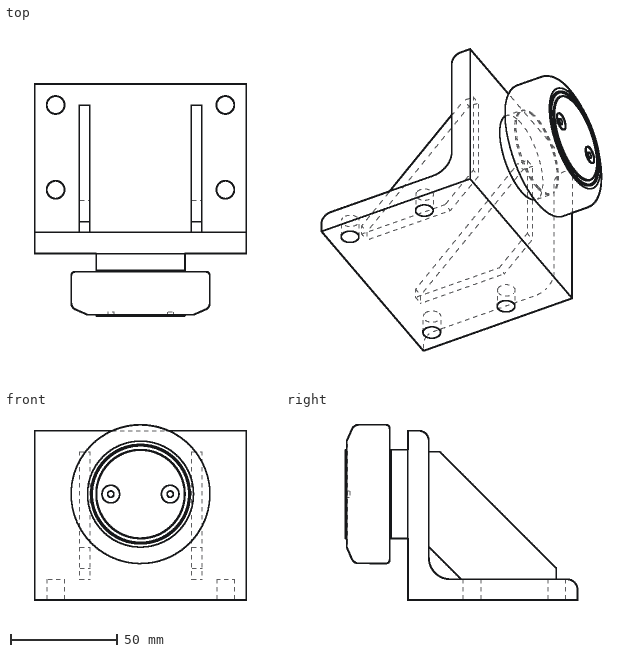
import cadquery as cq

bracket_width = 100.0
bracket_side = 80.0
plate_thickness = 10.0
edge_radius = 5.0
corner_radius = 10.0

mount_hole_diameter = 8.3
mount_hole_inset = 10.0
mount_hole_pitch = 40.0

gusset_thickness = 5.0
gusset_inset = 21.0
gusset_end_setback = 10.0
gusset_blunt_end = 5.0
gusset_corner_relief = 15.1

roller_height = 50.0
roller_diameter = 65.5
roller_back = 8.5
roller_front = 28.9
roller_face_diameter = 50.0
roller_cone_start = 25.5
roller_front_radius = 3.4
roller_back_radius = 1.8

slice_half_thickness = 0.1

spigot_diameter = 42.0
spigot_length = 7.9
neck_diameter = 41.5

hub_front = 29.5
hub_diameter = 42.0
hub_chamfer = 0.27
groove_outer_diameter = 47.0
groove_inner_diameter = 45.5
groove_depth = 0.3

screw_pitch = 28.0
screw_recess_diameter = 8.3
screw_recess_depth = 0.3
screw_socket_diameter = 3.0
screw_socket_depth = 2.0


def make_angle():
    """L-shaped bracket with a rounded inner corner and rounded inner edges."""
    profile = (
        cq.Workplane("YZ")
        .polyline(
            [
                (0, 0),
                (bracket_side, 0),
                (bracket_side, plate_thickness),
                (plate_thickness, plate_thickness),
                (plate_thickness, bracket_side),
                (0, bracket_side),
            ]
        )
        .close()
        .extrude(bracket_width / 2, both=True)
    )
    inner_corner = cq.selectors.NearestToPointSelector((0, plate_thickness, plate_thickness))
    base_edge = cq.selectors.NearestToPointSelector((0, bracket_side, plate_thickness))
    wall_edge = cq.selectors.NearestToPointSelector((0, plate_thickness, bracket_side))
    angle = profile.edges(inner_corner).fillet(corner_radius)
    return angle.edges(base_edge).fillet(edge_radius).edges(wall_edge).fillet(edge_radius)


def make_mount_holes():
    """Four through holes for the base."""
    x = bracket_width / 2 - mount_hole_inset
    back_y = bracket_side - mount_hole_inset
    front_y = back_y - mount_hole_pitch
    return (
        cq.Workplane("XY")
        .pushPoints([(side * x, y) for side in (-1, 1) for y in (front_y, back_y)])
        .circle(mount_hole_diameter / 2)
        .extrude(plate_thickness)
    )


def make_gusset(start_x):
    """Diagonal rib with blunt ends and a relieved inner corner."""
    inside = plate_thickness
    far_end = bracket_side - gusset_end_setback
    blunt_end = inside + gusset_blunt_end
    relief_end = inside + gusset_corner_relief
    return (
        cq.Workplane("YZ", origin=(start_x, 0, 0))
        .polyline(
            [
                (relief_end, inside),
                (far_end, inside),
                (far_end, blunt_end),
                (blunt_end, far_end),
                (inside, far_end),
                (inside, relief_end),
            ]
        )
        .close()
        .extrude(gusset_thickness)
    )


def disc(diameter, start, end):
    """Cylinder on the roller axis between two distances in front of the wall."""
    return (
        cq.Workplane("XZ", origin=(0, -start, roller_height))
        .circle(diameter / 2)
        .extrude(end - start)
    )


def rim_slice(diameter, distance):
    """Selector for edges lying in a thin slice across the roller axis."""
    reach = diameter / 2
    near = (-reach, -distance - slice_half_thickness, roller_height - reach)
    far = (reach, -distance + slice_half_thickness, roller_height + reach)
    return cq.selectors.BoxSelector(near, far)


def make_roller():
    """Crowned roller: cylinder with a shallow front cone and rounded rims."""
    radius = roller_diameter / 2
    roller = (
        cq.Workplane("XY")
        .polyline(
            [
                (0, -roller_back),
                (radius, -roller_back),
                (radius, -roller_cone_start),
                (roller_face_diameter / 2, -roller_front),
                (0, -roller_front),
            ]
        )
        .close()
        .revolve(360, (0, 0), (0, 1))
        .translate((0, 0, roller_height))
    )
    front_rim = rim_slice(roller_diameter, roller_cone_start)
    back_rim = rim_slice(roller_diameter, roller_back)
    return roller.edges(front_rim).fillet(roller_front_radius).edges(back_rim).fillet(roller_back_radius)


def make_hub():
    """Hub cap standing slightly proud of the roller face."""
    return disc(hub_diameter, roller_back, hub_front).faces("<Y").chamfer(hub_chamfer)


def make_groove():
    """Ring-shaped groove in the roller face."""
    start = roller_front - groove_depth
    outer = disc(groove_outer_diameter, start, roller_front)
    return outer.cut(disc(groove_inner_diameter, start, roller_front))


def make_screw_recess(x):
    """Shallow round recess with a narrow socket at its centre."""
    recess = disc(screw_recess_diameter, hub_front - screw_recess_depth, hub_front)
    socket = disc(screw_socket_diameter, hub_front - screw_socket_depth, hub_front)
    return recess.union(socket).translate((x, 0, 0))


result = make_angle().cut(make_mount_holes())
gusset_outer_x = bracket_width / 2 - gusset_inset
for gusset_start in (-gusset_outer_x, gusset_outer_x - gusset_thickness):
    result = result.union(make_gusset(gusset_start))

spigot = disc(spigot_diameter, 0, spigot_length)
neck = disc(neck_diameter, spigot_length, roller_back)
wheel = make_roller().cut(make_groove()).union(make_hub())
result = result.union(spigot).union(neck).union(wheel)

for screw_x in (-screw_pitch / 2, screw_pitch / 2):
    result = result.cut(make_screw_recess(screw_x))